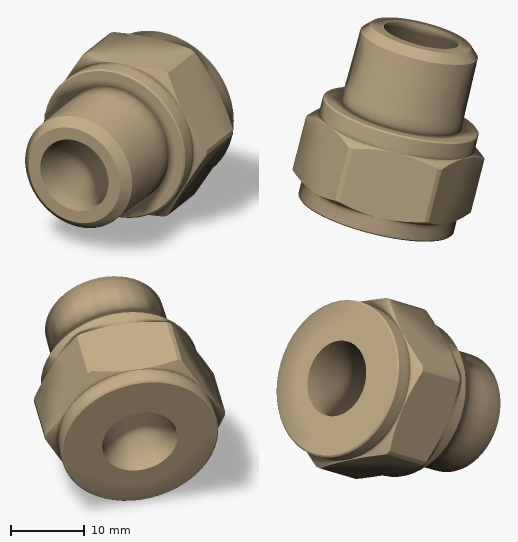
import cadquery as cq
import math

TOTAL_LENGTH = 26.0
SPIGOT_LENGTH = 11.5
COLLAR_LENGTH = 2.52
COLLAR_START = SPIGOT_LENGTH
HEX_START = COLLAR_START + COLLAR_LENGTH
HEX_END = TOTAL_LENGTH - COLLAR_LENGTH

SPIGOT_BASE_RADIUS = 8.45
SPIGOT_FRONT_RADIUS = 8.25
TIP_RADIUS = 7.02
TIP_CHAMFER_LENGTH = 1.22

COLLAR_RADIUS = 10.92
COLLAR_CHAMFER = 0.2
ACROSS_FLATS = 22.0
CORNER_DIAMETER = 25.0
HEX_CHAMFER_ANGLE = 30.0
BORE_RADIUS = 5.25


def revolve_about_y(profile):
    """Revolve a closed (radius, y) profile about the Y axis."""
    return cq.Workplane("XY").polyline(profile).close().revolve(360, (0, 0), (0, 1))


def make_round_body():
    """Spigot and both collars as one turned body."""
    rim_radius = COLLAR_RADIUS - COLLAR_CHAMFER
    return revolve_about_y([
        (0, 0),
        (TIP_RADIUS, 0),
        (SPIGOT_FRONT_RADIUS, TIP_CHAMFER_LENGTH),
        (SPIGOT_BASE_RADIUS, COLLAR_START),
        (rim_radius, COLLAR_START),
        (COLLAR_RADIUS, COLLAR_START + COLLAR_CHAMFER),
        (COLLAR_RADIUS, TOTAL_LENGTH - COLLAR_CHAMFER),
        (rim_radius, TOTAL_LENGTH),
        (0, TOTAL_LENGTH),
    ])


def make_hexagon():
    """Hexagon with corners on X, turned to the corner diameter and chamfered at both ends."""
    full_corner_diameter = ACROSS_FLATS / math.cos(math.radians(30))
    prism = (
        cq.Workplane("XZ", origin=(0, HEX_END, 0))
        .polygon(6, full_corner_diameter)
        .extrude(HEX_END - HEX_START)
    )
    corner_radius = CORNER_DIAMETER / 2
    face_radius = ACROSS_FLATS / 2
    chamfer_length = (corner_radius - face_radius) * math.tan(math.radians(HEX_CHAMFER_ANGLE))
    envelope = revolve_about_y([
        (0, HEX_START),
        (face_radius, HEX_START),
        (corner_radius, HEX_START + chamfer_length),
        (corner_radius, HEX_END - chamfer_length),
        (face_radius, HEX_END),
        (0, HEX_END),
    ])
    return prism.intersect(envelope)


def make_bore():
    """Cylinder that passes through the full length."""
    return cq.Workplane("XZ").circle(BORE_RADIUS).extrude(-TOTAL_LENGTH)


result = make_round_body().union(make_hexagon()).cut(make_bore())